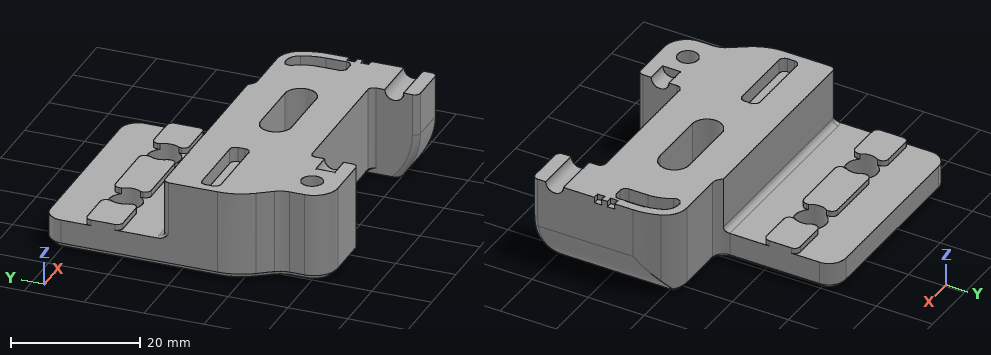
import cadquery as cq
import math

LENGTH_X = 49.5
LENGTH_Y = 46.0
HEIGHT = 15.0
PLATE_HEIGHT = 5.0

SMALL_RADIUS = 1.0
BOTTOM_CHAMFER = 1.0

PLATE_WIDTH = 35.0
PLATE_CORNER_RADIUS = 3.0
PLATE_HOLE_DIAMETER = 5.45
PLATE_HOLE_SPACING = 16.0
PLATE_HOLE_X = (PLATE_WIDTH - PLATE_HOLE_SPACING) / 2
PAD_CENTRE_Y = 36.0
PAD_DEPTH = 6.0
PAD_THICKNESS = 1.0
PAD_GAP = 4.4

STEP_Y = 26.0
SHOULDER_Y = 25.0
SHOULDER_INNER_RADIUS = 2.0
SHOULDER_OUTER_RADIUS = 4.0
END_ARC_RADIUS = 12.0
END_ARC_CENTRE_X = LENGTH_X - END_ARC_RADIUS
END_ARC_CENTRE_Y = 17.95

POST_LEFT_X = 4.15
POST_RIGHT_X = 16.5
POST_CORNER_RADIUS = 4.0
LUG_LEFT_X = 41.5
NOTCH_Y = 8.0
SLOPE_LOWER_Y = 7.7
SLOPE_UPPER_Y = 13.7
SLOPE_LOWER_RADIUS = 4.0
SLOPE_UPPER_RADIUS = 10.0
POST_HOLE_X = 8.8
POST_HOLE_Y = 4.6
POST_HOLE_DIAMETER = 3.5

END_ROUND_RADIUS = 7.95
END_ROUND_TOP = 6.25
LUG_ROUND_RADIUS = 12.0
LUG_ROUND_TOP = 7.95

GROOVE_Y = 4.0
GROOVE_RADIUS = 1.6
GROOVE_START_X = 12.85

SLOT_X = 29.5
SLOT_Y = 16.9
SLOT_LENGTH = 15.35
SLOT_WIDTH = 5.2
POCKET_DEPTH = 2.48
POCKET_LEFT_X = 1.6
POCKET_FRONT_Y = 17.3
POCKET_LENGTH = 13.4
POCKET_WIDTH = 3.15
CURVED_POCKET_WALL = 1.6
CURVED_POCKET_WIDTH = 3.05
CURVED_POCKET_FRONT_Y = 13.6

INDEX_NOTCH_DEPTH_X = 1.05
INDEX_NOTCH_WIDTH = 1.3
INDEX_NOTCH_DEPTH = 1.0
INDEX_NOTCH_CENTRES_Y = (11.75, 14.05)

OVERHANG = 4.95
SELECT_MARGIN = 0.5


def block(x_min, x_max, y_min, y_max, z_min, z_max):
    """Box between the given limits."""
    size = (x_max - x_min, y_max - y_min, z_max - z_min)
    return cq.Workplane("XY", origin=(x_min, y_min, z_min)).box(*size, centered=False)


def round_corners(solid, corners):
    """Round the vertical edges nearest the given (x, y, radius) corners."""
    mid_z = solid.val().Center().z
    for x, y, radius in corners:
        solid = solid.edges("|Z").edges(cq.NearestToPointSelector((x, y, mid_z))).fillet(radius)
    return solid


def end_arc_point(radius, angle):
    """Point at an angle from +X on a circle concentric with the +X end arc."""
    return (
        END_ARC_CENTRE_X + radius * math.cos(angle),
        END_ARC_CENTRE_Y + radius * math.sin(angle),
    )


def end_arc_angle(radius, y):
    """Angle at which such a circle reaches the given y."""
    return math.asin((y - END_ARC_CENTRE_Y) / radius)


def make_outline():
    """Full-height prism of the part's outline, the lug corners left square."""
    arc_angle = end_arc_angle(END_ARC_RADIUS, SHOULDER_Y)
    arc_end = end_arc_point(END_ARC_RADIUS, arc_angle)
    prism = (
        cq.Workplane("XY")
        .moveTo(POST_LEFT_X, 0)
        .lineTo(POST_RIGHT_X, 0)
        .lineTo(POST_RIGHT_X, NOTCH_Y)
        .lineTo(LUG_LEFT_X, NOTCH_Y)
        .lineTo(LUG_LEFT_X, 0)
        .lineTo(LENGTH_X, 0)
        .lineTo(LENGTH_X, END_ARC_CENTRE_Y)
        .threePointArc(end_arc_point(END_ARC_RADIUS, arc_angle / 2), arc_end)
        .lineTo(PLATE_WIDTH, SHOULDER_Y)
        .lineTo(PLATE_WIDTH, LENGTH_Y)
        .lineTo(0, LENGTH_Y)
        .lineTo(0, SLOPE_UPPER_Y)
        .lineTo(POST_LEFT_X, SLOPE_LOWER_Y)
        .close()
        .extrude(HEIGHT)
    )
    corners = [
        (POST_LEFT_X, 0, POST_CORNER_RADIUS),
        (POST_RIGHT_X, 0, SMALL_RADIUS),
        (POST_RIGHT_X, NOTCH_Y, SMALL_RADIUS),
        (LUG_LEFT_X, NOTCH_Y, SMALL_RADIUS),
        (*arc_end, SHOULDER_OUTER_RADIUS),
        (PLATE_WIDTH, SHOULDER_Y, SHOULDER_INNER_RADIUS),
        (PLATE_WIDTH, LENGTH_Y, PLATE_CORNER_RADIUS),
        (0, LENGTH_Y, PLATE_CORNER_RADIUS),
        (0, SLOPE_UPPER_Y, SLOPE_UPPER_RADIUS),
        (POST_LEFT_X, SLOPE_LOWER_Y, SLOPE_LOWER_RADIUS),
    ]
    return round_corners(prism, corners)


def make_step():
    """Base slab with the raised block on it, filleted where the two meet.

    Both overhang the outline, which later trims the fillet flush with the sides.
    """
    slab = block(-OVERHANG, LENGTH_X + OVERHANG, 0, LENGTH_Y, 0, PLATE_HEIGHT)
    raised = block(0, LENGTH_X + OVERHANG, 0, STEP_Y, PLATE_HEIGHT, HEIGHT)
    raised = round_corners(raised, [(0, STEP_Y, SMALL_RADIUS)])
    foot = cq.selectors.BoxSelector(
        (-SELECT_MARGIN, SELECT_MARGIN, PLATE_HEIGHT - SELECT_MARGIN),
        (LENGTH_X, STEP_Y + SELECT_MARGIN, PLATE_HEIGHT + SELECT_MARGIN),
    )
    return slab.union(raised).edges(foot).fillet(SMALL_RADIUS)


def make_pads():
    """Three locating pads, one between the plate holes and one on either side."""
    pads = cq.Workplane("XY")
    side_positions = [0]
    for hole_x in (PLATE_HOLE_X, PLATE_HOLE_X + PLATE_HOLE_SPACING):
        side_positions += [hole_x - PAD_GAP / 2, hole_x + PAD_GAP / 2]
    side_positions.append(PLATE_WIDTH)
    for left, right in zip(side_positions[::2], side_positions[1::2]):
        pad = block(
            left, right,
            PAD_CENTRE_Y - PAD_DEPTH / 2, PAD_CENTRE_Y + PAD_DEPTH / 2,
            PLATE_HEIGHT, PLATE_HEIGHT + PAD_THICKNESS,
        )
        pads = pads.add(pad.edges("|Z").fillet(SMALL_RADIUS))
    return pads.combine()


def round_under(plane, outer, inner, radius, arc_top, length):
    """Prism whose outer wall curves towards inner below arc_top, down to the bottom face."""
    inward = math.copysign(1, inner - outer)
    angle = math.asin(arc_top / radius)

    def arc_point(turn):
        return (outer + inward * radius * (1 - math.cos(turn)), arc_top - radius * math.sin(turn))

    return (
        cq.Workplane(plane)
        .moveTo(inner, 0)
        .lineTo(*arc_point(angle))
        .threePointArc(arc_point(angle / 2), (outer, arc_top))
        .lineTo(outer, HEIGHT)
        .lineTo(inner, HEIGHT)
        .close()
        .extrude(length)
    )


def make_lug_end():
    """Envelope of the +X end, curved underneath, with the lug's front corners rounded."""
    end = round_under("XZ", LENGTH_X, LUG_LEFT_X, END_ROUND_RADIUS, END_ROUND_TOP, -LENGTH_Y)
    front = round_under("YZ", 0, LENGTH_Y, LUG_ROUND_RADIUS, LUG_ROUND_TOP, LENGTH_X)
    front_corners = cq.selectors.BoxSelector(
        (LUG_LEFT_X - SELECT_MARGIN, -SELECT_MARGIN, SELECT_MARGIN),
        (LENGTH_X + SELECT_MARGIN, NOTCH_Y / 2, HEIGHT - SELECT_MARGIN),
    )
    return end.intersect(front).edges(front_corners).edges("not |X").fillet(SMALL_RADIUS)


def make_body():
    """Outline with its bottom chamfer, its step, its pads and its curved +X end."""
    outline = make_outline()
    plain_lug = outline.intersect(
        block(LUG_LEFT_X, LENGTH_X, 0, NOTCH_Y + BOTTOM_CHAMFER, 0, HEIGHT)
    )
    body = outline.faces("<Z").chamfer(BOTTOM_CHAMFER).union(plain_lug)
    body = body.intersect(make_step().union(make_pads()))
    left_part = body.intersect(block(0, LUG_LEFT_X, 0, LENGTH_Y, 0, HEIGHT))
    return left_part.union(body.intersect(make_lug_end())).clean()


def make_holes():
    """Round holes and the straight slot that pass right through."""
    holes = (
        cq.Workplane("XY")
        .pushPoints([(PLATE_HOLE_X, PAD_CENTRE_Y), (PLATE_HOLE_X + PLATE_HOLE_SPACING, PAD_CENTRE_Y)])
        .circle(PLATE_HOLE_DIAMETER / 2)
        .extrude(HEIGHT)
    )
    post_hole = cq.Workplane("XY").center(POST_HOLE_X, POST_HOLE_Y)
    holes = holes.add(post_hole.circle(POST_HOLE_DIAMETER / 2).extrude(HEIGHT))
    slot = cq.Workplane("XY").center(SLOT_X, SLOT_Y).slot2D(SLOT_LENGTH, SLOT_WIDTH)
    return holes.add(slot.extrude(HEIGHT)).combine()


def make_straight_pocket():
    """Straight blind pocket near the -X side."""
    pocket = block(
        POCKET_LEFT_X, POCKET_LEFT_X + POCKET_LENGTH,
        POCKET_FRONT_Y, POCKET_FRONT_Y + POCKET_WIDTH,
        HEIGHT - POCKET_DEPTH, HEIGHT,
    )
    return pocket.edges("|Z").fillet(SMALL_RADIUS)


def make_curved_pocket():
    """Pocket that follows the +X end at a constant wall thickness."""
    outer_radius = END_ARC_RADIUS - CURVED_POCKET_WALL
    inner_radius = outer_radius - CURVED_POCKET_WIDTH
    back_y = SHOULDER_Y - CURVED_POCKET_WALL
    outer_angle = end_arc_angle(outer_radius, back_y)
    inner_angle = end_arc_angle(inner_radius, back_y)
    outer_x = END_ARC_CENTRE_X + outer_radius
    inner_x = END_ARC_CENTRE_X + inner_radius
    outer_back = end_arc_point(outer_radius, outer_angle)
    inner_back = end_arc_point(inner_radius, inner_angle)
    pocket = (
        cq.Workplane("XY", origin=(0, 0, HEIGHT - POCKET_DEPTH))
        .moveTo(inner_x, CURVED_POCKET_FRONT_Y)
        .lineTo(outer_x, CURVED_POCKET_FRONT_Y)
        .lineTo(outer_x, END_ARC_CENTRE_Y)
        .threePointArc(end_arc_point(outer_radius, outer_angle / 2), outer_back)
        .lineTo(*inner_back)
        .threePointArc(end_arc_point(inner_radius, inner_angle / 2), (inner_x, END_ARC_CENTRE_Y))
        .close()
        .extrude(POCKET_DEPTH)
    )
    corners = [
        (inner_x, CURVED_POCKET_FRONT_Y, SMALL_RADIUS),
        (outer_x, CURVED_POCKET_FRONT_Y, SMALL_RADIUS),
        (*outer_back, SHOULDER_OUTER_RADIUS - CURVED_POCKET_WALL),
        (*inner_back, SMALL_RADIUS),
    ]
    return round_corners(pocket, corners)


def make_groove():
    """Half-round groove along X in the top of the post and the lug."""
    return (
        cq.Workplane("YZ", origin=(GROOVE_START_X, GROOVE_Y, HEIGHT))
        .circle(GROOVE_RADIUS)
        .extrude(LENGTH_X - GROOVE_START_X)
    )


def make_index_notches():
    """Pair of small square notches in the top of the +X edge."""
    notches = cq.Workplane("XY")
    for centre_y in INDEX_NOTCH_CENTRES_Y:
        notch = block(
            LENGTH_X - INDEX_NOTCH_DEPTH_X, LENGTH_X,
            centre_y - INDEX_NOTCH_WIDTH / 2, centre_y + INDEX_NOTCH_WIDTH / 2,
            HEIGHT - INDEX_NOTCH_DEPTH, HEIGHT,
        )
        notches = notches.add(notch)
    return notches.combine()


result = make_body()
for cutter in (
    make_holes(),
    make_straight_pocket(),
    make_curved_pocket(),
    make_groove(),
    make_index_notches(),
):
    result = result.cut(cutter)